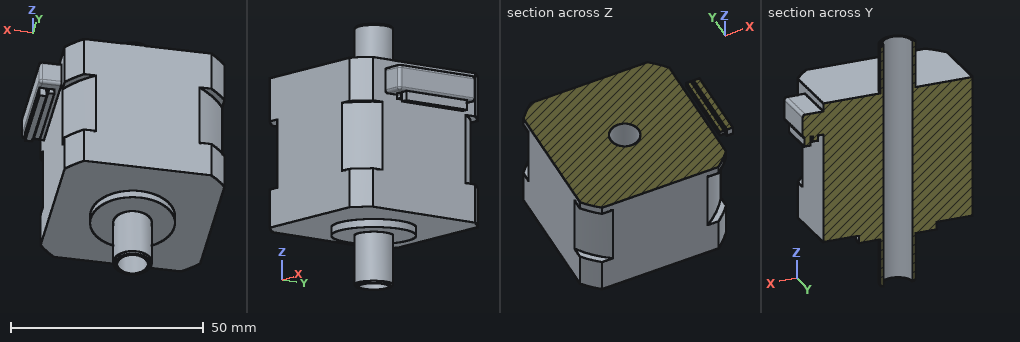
import cadquery as cq


body_width = 42.2
body_height = 39.6
corner_diameter = 53.9

waist_diameter = 50.2
waist_bottom = 10.15
waist_height = 18.0

flange_diameter = 22.0
flange_height = 2.1

overall_height = 68.6
shaft_diameter = 10.0
bore_diameter = 8.0
shaft_chamfer = 0.5
shaft_projection = (overall_height - body_height - flange_height) / 2

overall_length = 48.0
housing_length = overall_length - body_width
housing_width = 25.25
housing_height = 6.7
housing_fillet = 0.8
housing_drop = 2.25

latch_offset = 1.45
latch_thickness = 1.45
latch_height = 1.45
lip_overhang = 0.2
lip_height = 0.9
guard_offset = 3.5
guard_thickness = 1.85
guard_height = 2.5
tab_width = 19.9

body_side = body_width / 2
shaft_bottom = -flange_height - shaft_projection
housing_top = body_height - housing_drop
housing_bottom = housing_top - housing_height


def cylinder(diameter, bottom, height):
    return cq.Workplane("XY").workplane(offset=bottom).circle(diameter / 2).extrude(height)


def side_block(offset, length, width, bottom, height):
    """Block centred on Y that starts at an offset from the +X side of the body."""
    block = cq.Workplane("XY").box(length, width, height, centered=(False, True, False))
    return block.translate((body_side + offset, 0, bottom))


def rounded_block(bottom, height, diameter):
    """Square block with its vertical corners cut to a cylinder around the shaft axis."""
    block = cq.Workplane("XY").box(body_width, body_width, height, centered=(True, True, False))
    return block.translate((0, 0, bottom)).intersect(cylinder(diameter, bottom, height))


def make_body():
    waist_top = waist_bottom + waist_height
    lower_end = rounded_block(0, waist_bottom, corner_diameter)
    waist = rounded_block(waist_bottom, waist_height, waist_diameter)
    upper_end = rounded_block(waist_top, body_height - waist_top, corner_diameter)
    return lower_end.union(waist).union(upper_end)


def make_shaft():
    shaft = cylinder(shaft_diameter, shaft_bottom, overall_height)
    return shaft.faces("<Z or >Z").edges().chamfer(shaft_chamfer)


def make_bore():
    return cylinder(bore_diameter, shaft_bottom, overall_height)


def make_connector():
    housing = side_block(0, housing_length, housing_width, housing_bottom, housing_height)
    housing = housing.edges("|X or >X").fillet(housing_fillet)

    latch_bottom = housing_bottom - latch_height
    latch = side_block(latch_offset, latch_thickness, tab_width, latch_bottom, latch_height)
    lip = side_block(latch_offset, latch_thickness + lip_overhang, tab_width, latch_bottom, lip_height)

    guard_bottom = housing_bottom - guard_height
    guard = side_block(guard_offset, guard_thickness, tab_width, guard_bottom, guard_height + housing_fillet)
    return housing.union(latch).union(lip).union(guard)


flange = cylinder(flange_diameter, -flange_height, flange_height)

result = make_body().union(flange).union(make_shaft()).union(make_connector()).cut(make_bore())